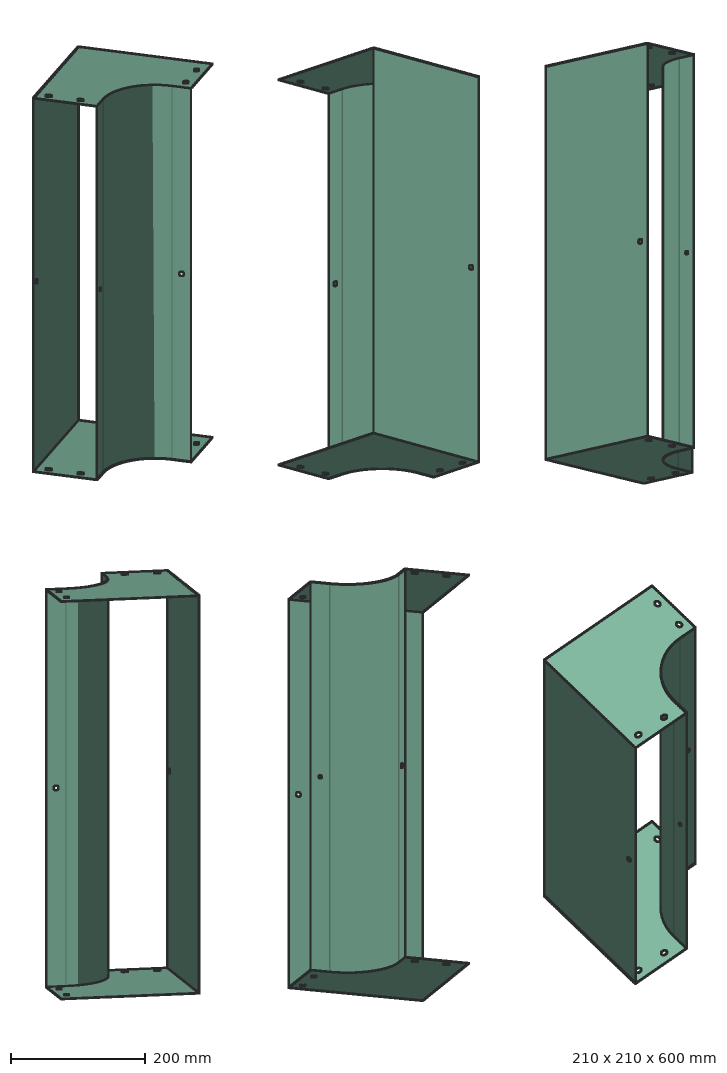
import cadquery as cq

height = 600.0
side = 210.0
leg_width = 100.0
bend_radius = 80.0
sheet = 1.1

slot_width = 7.0
slot_length = 9.5
right_slot_edge_distance = 15.0
front_slot_edge_distance = 15.5
slot_spacing = 50.0
front_leg_first_slot = 19.0
right_leg_first_slot = 30.0

wide_hole_diameter = 7.0
narrow_hole_diameter = 5.0
wall_hole_edge_distance = 15.0


def duct_prism(inset, length):
    """L-shaped prism with its -X face and its inside corner moved inward by inset."""
    inner_x = leg_width - inset
    inner_y = side - leg_width + inset
    radius = bend_radius + inset
    return (
        cq.Workplane("XY")
        .moveTo(inset, 0)
        .lineTo(inner_x, 0)
        .lineTo(inner_x, inner_y - radius)
        .radiusArc((inner_x + radius, inner_y), radius)
        .lineTo(side, inner_y)
        .lineTo(side, side)
        .lineTo(inset, side)
        .close()
        .extrude(length)
    )


def end_plate_slots(x, y, angle):
    """Slot cutter through both end plates."""
    return (
        cq.Workplane("XY")
        .center(x, y)
        .slot2D(slot_length, slot_width, angle)
        .extrude(height)
    )


cavity = duct_prism(sheet, height - 2 * sheet).translate((0, 0, sheet))
result = duct_prism(0, height).cut(cavity)

for index in range(2):
    offset = index * slot_spacing
    front_slot_x = front_leg_first_slot + offset
    right_slot_y = side - right_leg_first_slot - offset
    result = result.cut(end_plate_slots(front_slot_x, front_slot_edge_distance, 0))
    result = result.cut(end_plate_slots(side - right_slot_edge_distance, right_slot_y, 90))


def wall_hole(diameter, start, direction):
    """Round cutter that spans half a leg's width, halfway up the part."""
    return cq.Solid.makeCylinder(
        diameter / 2, leg_width / 2, cq.Vector(*start, height / 2), cq.Vector(*direction)
    )


outer_wall_hole = wall_hole(wide_hole_diameter, (0, wall_hole_edge_distance), (1, 0, 0))
front_leg_hole = wall_hole(narrow_hole_diameter, (leg_width, wall_hole_edge_distance), (-1, 0, 0))
right_leg_hole = wall_hole(
    wide_hole_diameter, (side - wall_hole_edge_distance, side - leg_width), (0, 1, 0)
)
result = result.cut(outer_wall_hole).cut(front_leg_hole).cut(right_leg_hole)